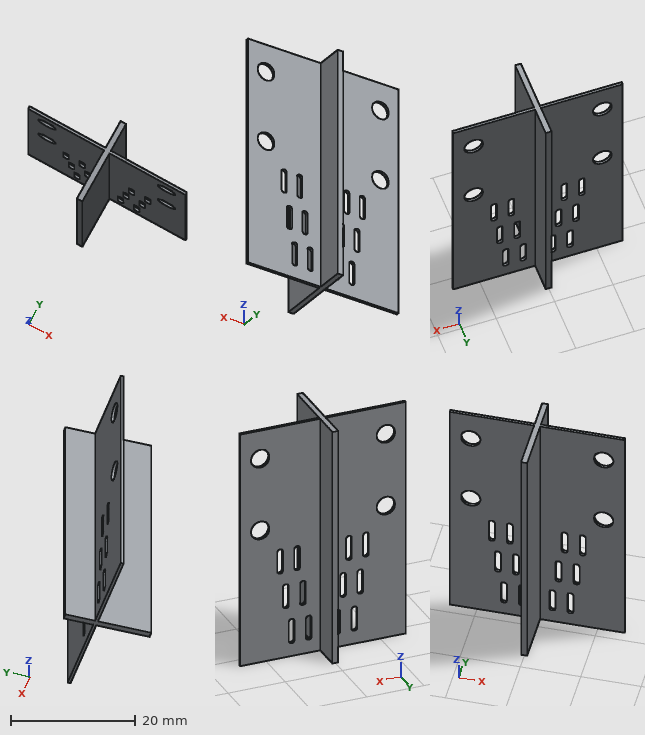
import cadquery as cq

plate_width = 29.0
height = 42.0
plate_thickness = 0.5

rib_thickness = 1.0
rib_depth = 14.5
rib_front_reach = 9.0

hole_diameter = 3.2
hole_offset = 11.0
upper_hole_height = 36.9
hole_spacing = 13.0

slot_width = 1.0
slot_length = 4.35
slot_pitch = 3.0
slot_row_count = 3
bottom_row_height = 4.55
slot_row_spacing = 6.5
bottom_row_inner_offset = 2.5
slot_row_shift = 1.0

SIDES = (-1, 1)


def make_plate():
    return cq.Workplane("XY").box(
        plate_width, plate_thickness, height, centered=(True, False, False)
    )


def make_rib():
    rib = cq.Workplane("XY").box(
        rib_thickness, rib_depth, height, centered=(True, False, False)
    )
    return rib.translate((0, -rib_front_reach, 0))


def hole_points():
    heights = (upper_hole_height, upper_hole_height - hole_spacing)
    return [(side * hole_offset, z) for side in SIDES for z in heights]


def slot_points():
    points = []
    for row in range(slot_row_count):
        z = bottom_row_height + row * slot_row_spacing
        inner = bottom_row_inner_offset + row * slot_row_shift
        for offset in (inner, inner + slot_pitch):
            points += [(side * offset, z) for side in SIDES]
    return points


def make_cutters():
    holes = (
        cq.Workplane("XZ")
        .pushPoints(hole_points())
        .circle(hole_diameter / 2)
        .extrude(-plate_thickness)
    )
    slots = (
        cq.Workplane("XZ")
        .pushPoints(slot_points())
        .slot2D(slot_length, slot_width, 90)
        .extrude(-plate_thickness)
    )
    return holes, slots


hole_cutter, slot_cutter = make_cutters()
result = make_plate().union(make_rib()).cut(hole_cutter).cut(slot_cutter)